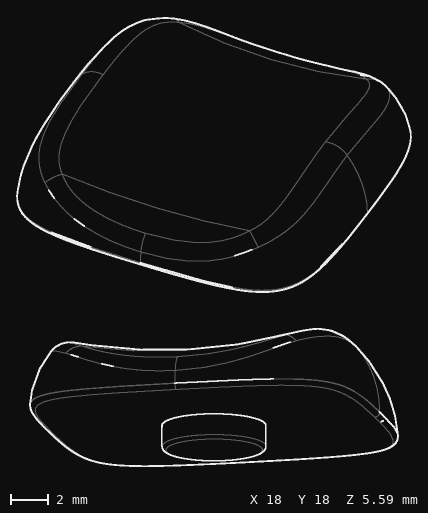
import cadquery as cq
import math

cap_width = 17.97
cap_length = 17.95
base_fillet = 0.27
foot_height = 0.29

wall_radius_x = 5.75
wall_radius_y = 4.85
wall_height = 4.67
wall_sections = 7
corner_fullness_base = 0.945
corner_fullness_top = 0.84

saddle_height = 3.52
concave_radius = 29.47
crown_radius = 24.44
crown_half_angle = 16.5
crown_end_radius = 5.39
end_sweep = 70.0
rim_fillet = 1.25

stem_diameter = 5.5
stem_length = 1.31
stem_fillet = 0.2

cutter_margin = 0.9
cutter_half_width = cap_width / 2 + cutter_margin
cutter_depth = 5.39


def arc_inset(radius, rise):
    """Inward lean of a wall arc at a height above its vertical start."""
    return radius - math.sqrt(radius**2 - rise**2)


def soft_square(height, half_x, half_y, fullness):
    """Closed outline of four cubic curves, one for each quadrant."""
    quadrants = []
    for sign_x, sign_y in ((1, 1), (-1, 1), (-1, -1), (1, -1)):
        x_end = sign_x * half_x
        y_end = sign_y * half_y
        points = [
            cq.Vector(x_end, 0, height),
            cq.Vector(x_end, fullness * y_end, height),
            cq.Vector(fullness * x_end, y_end, height),
            cq.Vector(0, y_end, height),
        ]
        if sign_x * sign_y < 0:
            points.reverse()
        quadrants.append(cq.Edge.makeBezier(points))
    return cq.Wire.assembleEdges(quadrants)


def wall_block():
    """Lofted block with vertical foot and inward-curving walls."""
    half_x = cap_width / 2
    half_y = cap_length / 2
    outlines = []
    for index in range(wall_sections):
        share = index / (wall_sections - 1)
        rise = share * (wall_height - foot_height)
        fullness = corner_fullness_base + share * (corner_fullness_top - corner_fullness_base)
        outlines.append(
            soft_square(
                foot_height + rise,
                half_x - arc_inset(wall_radius_x, rise),
                half_y - arc_inset(wall_radius_y, rise),
                fullness,
            )
        )
    upper = cq.Workplane(cq.Solid.makeLoft(outlines))
    foot_outline = soft_square(0, half_x, half_y, corner_fullness_base)
    foot = cq.Workplane(cq.Solid.extrudeLinear(foot_outline, [], cq.Vector(0, 0, foot_height)))
    foot = foot.faces("<Z").edges().fillet(base_fillet)
    return upper.union(foot)


def saddle_sector(radius, start_angle, sweep):
    """Space above the concave arc, swept about the X axis.

    The arc's lowest point turns at the given radius. Angles run from straight up towards -Y.
    """
    edge_rise = arc_inset(concave_radius, cutter_half_width)
    profile = (
        cq.Workplane("XZ")
        .moveTo(-cutter_half_width, radius + edge_rise)
        .threePointArc((0, radius), (cutter_half_width, radius + edge_rise))
        .lineTo(cutter_half_width, radius + cutter_depth)
        .lineTo(-cutter_half_width, radius + cutter_depth)
        .close()
    )
    sector = profile.revolve(sweep, (0, 0, 0), (1, 0, 0))
    return sector.rotate((0, 0, 0), (1, 0, 0), start_angle)


def saddle_cutter():
    """Space above the whole saddle: the crown and its two mirrored, tangent ends."""
    crown_axis_height = saddle_height - crown_radius
    crown = saddle_sector(crown_radius, -crown_half_angle, 2 * crown_half_angle)
    crown = crown.translate((0, 0, crown_axis_height))
    axis_shift = crown_radius - crown_end_radius
    seam_angle = math.radians(crown_half_angle)
    end_axis_y = -axis_shift * math.sin(seam_angle)
    end_axis_z = crown_axis_height + axis_shift * math.cos(seam_angle)
    end = saddle_sector(crown_end_radius, crown_half_angle, end_sweep)
    end = end.translate((0, end_axis_y, end_axis_z))
    return crown.union(end).union(end.mirror("XZ"))


def stem():
    """Round stem hanging below the cap, with a rounded lower rim."""
    post = cq.Workplane("XY").circle(stem_diameter / 2).extrude(-stem_length)
    return post.faces("<Z").edges().fillet(stem_fillet)


cap = wall_block().cut(saddle_cutter())

rim_edge_center = (7.19, 3.6, 3.95)
cap = cap.edges(cq.NearestToPointSelector(rim_edge_center)).fillet(rim_fillet)

result = cap.union(stem())